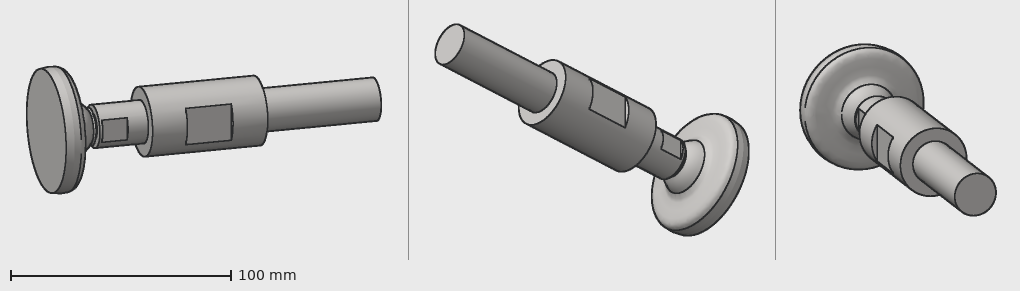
import cadquery as cq
import math

total_length = 157.0

stem_radius = 20.0 / 2
stem_start = 22.3
stem_flat_width = 17.0
stem_flat_start = 23.7
stem_flat_length = 12.1
neck_radius = 6.1
neck_end = 13.3

sleeve_radius = 32.0 / 2
sleeve_start = 45.5
sleeve_length = 55.1
sleeve_flat_width = 27.0
sleeve_flat_length = 21.8

base_radius = 28.4
foot_radius = 58.0 / 2
widest_height = 4.0
shoulder_radius = 28.7
shoulder_height = 7.2
edge_radius = 27.0
edge_height = 9.7
slope_middle_radius = 21.0
slope_middle_height = 10.7
slope_radius = 14.9
slope_height = 11.8
dome_radius = 14.0
dome_center = 8.5
dome_start = 13.3
dome_end = 20.0
lip_radius = 8.8
lip_height = 20.9
lip_top_height = 21.8


def cylinder(radius, start, length):
    """Solid cylinder along +Y, beginning at Y = start."""
    return cq.Workplane("XZ", origin=(0, start, 0)).circle(radius).extrude(-length)


def cut_side_flats(body, radius, width, start, length):
    """Mill two opposite flats, facing -X and +X, into a cylindrical body."""
    depth = radius - width / 2
    for side in (-1, 1):
        cutter = cq.Workplane("XY").box(depth, length, 2 * radius)
        offset = side * (width + depth) / 2
        body = body.cut(cutter.translate((offset, start + length / 2, 0)))
    return body


def dome_point(height):
    """Point (radius, height) on the spherical hub."""
    return (math.sqrt(dome_radius**2 - (height - dome_center) ** 2), height)


def make_stem():
    rod = cylinder(stem_radius, stem_start, total_length - stem_start)
    rod = cut_side_flats(rod, stem_radius, stem_flat_width, stem_flat_start, stem_flat_length)
    neck = cylinder(neck_radius, neck_end, stem_start - neck_end)
    return rod.union(neck)


def make_sleeve():
    body = cylinder(sleeve_radius, sleeve_start, sleeve_length)
    flat_start = sleeve_start + (sleeve_length - sleeve_flat_length) / 2
    body = cut_side_flats(body, sleeve_radius, sleeve_flat_width, flat_start, sleeve_flat_length)
    return body.cut(cylinder(stem_radius, sleeve_start, sleeve_length))


def make_foot():
    profile = (
        cq.Workplane("XY")
        .lineTo(base_radius, 0)
        .lineTo(foot_radius, widest_height)
        .lineTo(shoulder_radius, shoulder_height)
        .spline(
            [
                (edge_radius, edge_height),
                (slope_middle_radius, slope_middle_height),
                (slope_radius, slope_height),
                dome_point(dome_start),
            ],
            includeCurrent=True,
        )
        .threePointArc(dome_point((dome_start + dome_end) / 2), dome_point(dome_end))
        .lineTo(lip_radius, lip_height)
        .lineTo(neck_radius, lip_top_height)
        .lineTo(0, lip_top_height)
        .close()
    )
    body = profile.revolve(360, (0, 0, 0), (0, 1, 0))
    return body.cut(cylinder(neck_radius, neck_end, lip_top_height - neck_end))


stem = make_stem()
sleeve = make_sleeve()
foot = make_foot()

result = cq.Compound.makeCompound([stem.val(), sleeve.val(), foot.val()])